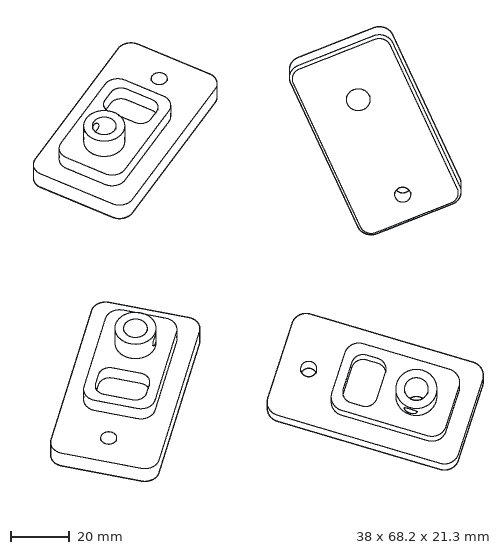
import cadquery as cq

base_width = 38.0
base_length = 68.2
base_height = 8.0
corner_radius = 5.0
base_chamfer = 1.0

pad_width = 25.0
pad_length = 40.8
pad_height = 5.5
pad_center_y = -7.2

boss_diameter = 14.05
boss_height = 7.83
boss_center_y = -14.7
bore_diameter = 8.1

cross_hole_diameter = 4.6
cross_hole_drop = boss_height / 2

pocket_width = 17.9
pocket_length = 12.0
pocket_radius = 4.0
pocket_depth = pad_height
pocket_center_y = 3.9

mount_hole_diameter = 5.5
mount_hole_y = 23.8

pad_top = base_height + pad_height
boss_top = pad_top + boss_height


def rounded_block(width, length, height, radius, center_y, bottom):
    """Upright block with rounded vertical edges."""
    block = cq.Workplane("XY", origin=(0, center_y, bottom)).rect(width, length).extrude(height)
    return block.edges("|Z").fillet(radius)


def upright_cylinder(diameter, center_y, bottom, top):
    return cq.Workplane("XY", origin=(0, center_y, bottom)).circle(diameter / 2).extrude(top - bottom)


def make_base():
    base = rounded_block(base_width, base_length, base_height, corner_radius, 0, 0)
    return base.faces("<Z").edges().chamfer(base_chamfer)


def make_cross_hole():
    """Cylinder running from the boss axis out through its -X wall."""
    plane = cq.Workplane("YZ", origin=(0, boss_center_y, boss_top - cross_hole_drop))
    return plane.circle(cross_hole_diameter / 2).extrude(-boss_diameter)


pad = rounded_block(pad_width, pad_length, pad_height, corner_radius, pad_center_y, base_height)
boss = upright_cylinder(boss_diameter, boss_center_y, pad_top, boss_top)
pocket = rounded_block(
    pocket_width, pocket_length, pocket_depth, pocket_radius, pocket_center_y, pad_top - pocket_depth
)
bore = upright_cylinder(bore_diameter, boss_center_y, 0, boss_top)
mount_hole = upright_cylinder(mount_hole_diameter, mount_hole_y, 0, base_height)

result = make_base().union(pad).union(boss)
result = result.cut(pocket).cut(bore).cut(mount_hole).cut(make_cross_hole())